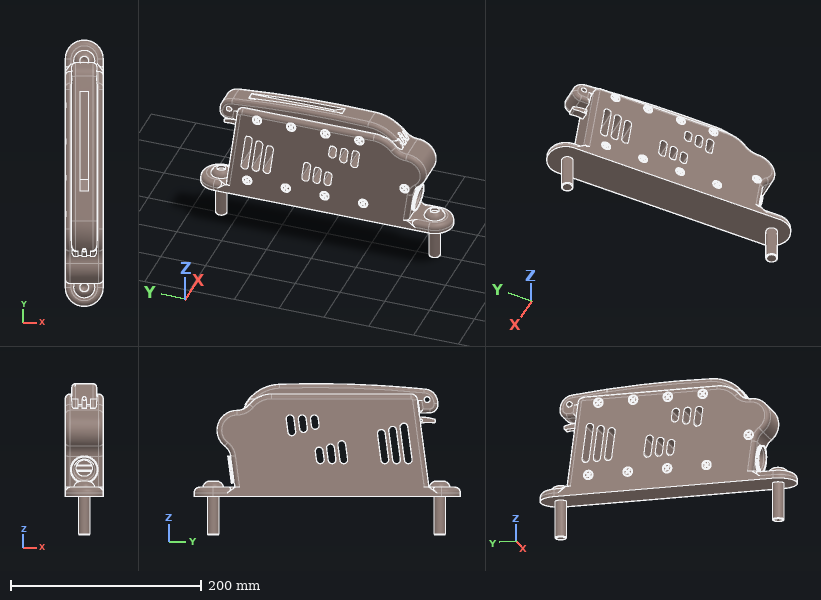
import cadquery as cq
import math

LENGTH = 280.0
WIDTH = 40.0
BASE_HEIGHT = 10.0
BASE_ROUND = 6.2
BASE_FULL_REAR = 115.0
BASE_FULL_FRONT = -105.0
CORNER_FACET = 8.5

LEAN = math.radians(7.6)
CASE_TOP = 107.8
CASE_REAR_FOOT = 107.0
CASE_FRONT_FOOT = -97.2
CASE_ROUND = 5.0
REAR_CORNER_RADIUS = 6.7
FRONT_FACE_TOP = 42.3
BULGE_Y = -95.0
BULGE_Z = 69.7
BULGE_RADIUS = 21.0
NECK_RADIUS = 17.0
SHOULDER_RADIUS = 30.2
CHANNEL_WIDTH = 27.5
CHANNEL_DEPTH = 2.5

LEVER_WIDTH = 26.3
LEVER_ROUND = 4.2
LEVER_REAR = (102.0, 113.0)
LEVER_MIDDLE = (25.8, 118.2)
LEVER_BEND = (-50.0, 118.2)
LEVER_TIP = (-88.2, 93.2)
LEVER_TIP_ROOT_Z = 84.0
LEVER_CREST_Z = 118.7
HOOK_ROOT = (95.2, 100.8)
HOOK_INNER_LOW = (97.5, 87.5)
HOOK_BOTTOM = (108.0, 88.0)
HOOK_HEEL = (114.2, 91.0)
HOOK_BACK = (116.2, 98.0)
HOOK_SHOULDER = (111.5, 109.2)
HOOK_HOLE_DIAMETER = 6.0
HOOK_HOLE_Y = 105.0
HOOK_HOLE_Z = 102.0
PRONG_INNER_X = 6.7
FINGER_TOP_Z = 102.5
FINGER_STEP = 0.8
NOTCH_TOP_Z = 97.0
NOTCH_FLOOR_Y = -83.2
TAB_WIDTH = 4.5
LEVER_PIN_DIAMETER = 4.0
LEVER_PIN_Z = 103.0
LEVER_PIN_FLOOR_Y = -79.2
GROOVE_WIDTH = 9.0
GROOVE_REAR_Y = 86.0
GROOVE_REAR_Z = 114.0
GROOVE_DEEP_Y = -6.5
GROOVE_FRONT_Y = -18.5
GROOVE_DEPTH = 4.2

CATCH_WIDTH = 8.5
CATCH_ROOT_TOP = (96.3, 83.7)
CATCH_MIDDLE_TOP = (105.3, 83.2)
CATCH_TIP_TOP = (113.7, 81.2)
CATCH_TIP_LOW = (113.7, 77.0)
CATCH_MIDDLE_LOW = (105.0, 77.8)
CATCH_ROOT_LOW = (96.3, 76.5)
CATCH_TIP_ROUND = 1.7
CATCH_HOLE_CENTER = (98.5, 80.0)
CATCH_HOLE_DIAMETER = 2.5

BOLT_PLACES = (118.2, -119.8)
BOLT_DIAMETER = 12.3
BOLT_LENGTH = 40.3
BOLT_END_CHAMFER = 0.8
HEAD_DIAMETER = 22.0
HEAD_DOME_MIDDLE = (9.0, 4.0)
HEAD_TOP_DIAMETER = 10.0
HEAD_HEIGHT = 6.2
SOCKET_DIAMETER = 9.2
SOCKET_DEPTH = 3.5
SOCKET_CONE_DEPTH = 2.2

PORT_Z = 28.5
COLLAR_DIAMETER = 28.8
COLLAR_HEIGHT = 3.0
COLLAR_TEETH = 36
TOOTH_DEPTH = 0.8
TOOTH_GAP = 1.0
BORE_DIAMETER = 22.0
BORE_FLOOR_DIAMETER = 17.0
BORE_DEPTH = 9.8
BORE_LIP = 2.2
SLIT_WIDTH = 1.0
SLIT_DEPTH = 2.8
SLIT_OFFSET = 2.8
SLIT_LENGTH = 14.0

SLOT_WIDTH = 7.8
SLOTS_PER_GROUP = 3
SLOT_PITCH = 12.3
SLOT_STEP = 3.5
SLOT_LOW_Z = 38.5
REAR_SLOTS_Y = 85.0
REAR_SLOTS_TOP = 73.0
MIDDLE_SLOTS_Y = 17.5
MIDDLE_SLOTS_TOP = 54.5
UPPER_SLOTS_Y = -12.5
UPPER_SLOTS_LOW = 74.8
UPPER_SLOTS_TOP = 81.8

SCREW_DIAMETER = 10.0
SCREWS_PER_ROW = 4
TOP_SCREWS_Y = 71.5
TOP_SCREWS_Z = 99.0
TOP_SCREW_PITCH = 38.0
LOW_SCREWS_Y = 82.3
LOW_SCREWS_Z = 20.7
LOW_SCREW_PITCH = 43.0
FRONT_SCREW = (-93.2, 49.8)
SCREW_HEAD_DIAMETER = 8.5
SCREW_GAP_DEPTH = 0.8
CROSS_LENGTH = 5.3
CROSS_WIDTH = 1.0
CROSS_TURN = 45.0
CROSS_DEPTH = 1.5

HALF_WIDTH = WIDTH / 2
MARGIN = 2.8


def side_prism(outline, width):
    """Extrude a (y, z) outline symmetrically about the middle plane."""
    return outline.extrude(width / 2, both=True)


def corner_facet_cutter(side, y_end, toward_case):
    """Pyramid that slopes one square corner of the base plate down to its rounded end."""
    x_side = side * HALF_WIDTH
    x_inner = side * (HALF_WIDTH - BASE_ROUND)
    corners = [
        cq.Vector(x_side, y_end, BASE_HEIGHT),
        cq.Vector(x_inner, y_end, BASE_HEIGHT),
        cq.Vector(x_side, y_end, BASE_HEIGHT - BASE_ROUND),
        cq.Vector(x_side, y_end + toward_case * CORNER_FACET, BASE_HEIGHT),
    ]
    faces = []
    for skipped in corners:
        triangle = [corner for corner in corners if corner is not skipped]
        faces.append(cq.Face.makeFromWires(cq.Wire.makePolygon(triangle, close=True)))
    return cq.Workplane(cq.Solid.makeSolid(cq.Shell.makeShell(faces)))


def make_base():
    plate = cq.Workplane("XY").slot2D(LENGTH, WIDTH, 90).extrude(BASE_HEIGHT)
    plate = plate.faces(">Z").edges().fillet(BASE_ROUND)
    middle = cq.Workplane("XY").box(
        WIDTH, BASE_FULL_REAR - BASE_FULL_FRONT, BASE_HEIGHT, centered=(True, False, False)
    ).translate((0, BASE_FULL_FRONT, 0))
    for side in (-1, 1):
        middle = middle.cut(corner_facet_cutter(side, BASE_FULL_REAR, -1))
        middle = middle.cut(corner_facet_cutter(side, BASE_FULL_FRONT, 1))
    return plate.union(middle)


def lean_shift(z):
    """How far a leaning face has moved toward -Y at height z."""
    return (z - BASE_HEIGHT) * math.tan(LEAN)


def make_case():
    face_top_y = CASE_FRONT_FOOT - lean_shift(FRONT_FACE_TOP)
    normal_y = -math.cos(LEAN)
    normal_z = -math.sin(LEAN)
    gap_y = face_top_y - BULGE_Y
    gap_z = FRONT_FACE_TOP - BULGE_Z
    throat_radius = (gap_y**2 + gap_z**2 - BULGE_RADIUS**2) / (
        2 * (BULGE_RADIUS - gap_y * normal_y - gap_z * normal_z)
    )
    to_throat = math.atan2(gap_z + throat_radius * normal_z, gap_y + throat_radius * normal_y)
    bulge_low = (
        BULGE_Y + BULGE_RADIUS * math.cos(to_throat),
        BULGE_Z + BULGE_RADIUS * math.sin(to_throat),
    )
    bulge_top = (BULGE_Y, BULGE_Z + BULGE_RADIUS)

    radius_sum = NECK_RADIUS + SHOULDER_RADIUS
    sweep = math.acos(1 - (CASE_TOP - bulge_top[1]) / radius_sum)
    neck_end = (
        BULGE_Y + NECK_RADIUS * math.sin(sweep),
        bulge_top[1] + NECK_RADIUS * (1 - math.cos(sweep)),
    )
    shoulder_end = (BULGE_Y + radius_sum * math.sin(sweep), CASE_TOP)

    outline = (
        cq.Workplane("YZ")
        .moveTo(CASE_REAR_FOOT, BASE_HEIGHT)
        .lineTo(CASE_FRONT_FOOT, BASE_HEIGHT)
        .lineTo(face_top_y, FRONT_FACE_TOP)
        .tangentArcPoint(bulge_low, relative=False)
        .tangentArcPoint(bulge_top, relative=False)
        .tangentArcPoint(neck_end, relative=False)
        .tangentArcPoint(shoulder_end, relative=False)
        .lineTo(CASE_REAR_FOOT - lean_shift(CASE_TOP), CASE_TOP)
        .close()
    )
    case = side_prism(outline, WIDTH)
    case = case.edges("|X").edges(">Z").edges(">Y").fillet(REAR_CORNER_RADIUS)
    above_foot = cq.selectors.BoxSelector(
        (-WIDTH, -LENGTH, BASE_HEIGHT + MARGIN), (WIDTH, LENGTH, CASE_TOP + MARGIN)
    )
    case = case.faces("<X or >X").edges(above_foot).fillet(CASE_ROUND)
    channel = cq.Workplane("XY").box(CHANNEL_WIDTH, LENGTH, 2 * CHANNEL_DEPTH)
    return case.cut(channel.translate((0, 0, CASE_TOP)))


def make_lever():
    outline = (
        cq.Workplane("YZ")
        .moveTo(*LEVER_REAR)
        .threePointArc(LEVER_MIDDLE, LEVER_BEND)
        .tangentArcPoint(LEVER_TIP, relative=False)
        .lineTo(LEVER_TIP[0], LEVER_TIP_ROOT_Z)
        .lineTo(LEVER_BEND[0], LEVER_TIP_ROOT_Z)
        .lineTo(LEVER_BEND[0], HOOK_ROOT[1])
        .lineTo(*HOOK_ROOT)
        .lineTo(*HOOK_INNER_LOW)
        .lineTo(*HOOK_BOTTOM)
        .threePointArc(HOOK_HEEL, HOOK_BACK)
        .threePointArc(HOOK_SHOULDER, LEVER_REAR)
        .close()
    )
    lever = side_prism(outline, LEVER_WIDTH)
    upper_edges = cq.selectors.BoxSelector(
        (-WIDTH, LEVER_TIP[0], CASE_TOP - MARGIN), (WIDTH, LENGTH, LEVER_CREST_Z)
    )
    hook_edges = cq.selectors.BoxSelector((-WIDTH, HOOK_ROOT[0], 0), (WIDTH, LENGTH, LEVER_CREST_Z))
    lever = lever.faces("<X or >X").edges(upper_edges + hook_edges).fillet(LEVER_ROUND)

    hook_hole = side_prism(
        cq.Workplane("YZ").center(HOOK_HOLE_Y, HOOK_HOLE_Z).circle(HOOK_HOLE_DIAMETER / 2), WIDTH
    )
    lever = shape_nose(lever).cut(hook_hole).cut(make_groove())
    pin_hole = cq.Workplane("XZ").center(0, LEVER_PIN_Z).circle(LEVER_PIN_DIAMETER / 2).extrude(LENGTH)
    return lever.cut(pin_hole.translate((0, LEVER_PIN_FLOOR_Y, 0)))


def front_block(x_low, x_high, z_top, y_rear):
    """Block that covers everything in front of y_rear and below z_top between two x places."""
    block = cq.Workplane("XY").box(x_high - x_low, LENGTH, LENGTH, centered=False)
    return block.translate((x_low, y_rear - LENGTH, z_top - LENGTH))


def shape_nose(lever):
    """Set back two outer prongs and a middle tab at the lever tip and notch between them."""
    fingers = (
        (-LEVER_WIDTH / 2, -PRONG_INNER_X),
        (-TAB_WIDTH / 2, TAB_WIDTH / 2),
        (PRONG_INNER_X, LEVER_WIDTH / 2),
    )
    nose = lever.cut(front_block(-PRONG_INNER_X, PRONG_INNER_X, NOTCH_TOP_Z, NOTCH_FLOOR_Y))
    for x_low, x_high in fingers:
        finger_block = front_block(x_low, x_high, FINGER_TOP_Z, LEVER_BEND[0])
        finger = lever.intersect(finger_block).translate((0, FINGER_STEP, 0))
        nose = nose.cut(finger_block).union(finger)
    return nose


def make_groove():
    """Finger groove: the floor slopes down toward the front, then ramps up steeply."""
    outline = (
        cq.Workplane("YZ")
        .moveTo(GROOVE_REAR_Y, GROOVE_REAR_Z)
        .lineTo(GROOVE_DEEP_Y, LEVER_CREST_Z - GROOVE_DEPTH)
        .lineTo(GROOVE_FRONT_Y, LEVER_CREST_Z)
        .lineTo(GROOVE_FRONT_Y, LEVER_CREST_Z + MARGIN)
        .lineTo(GROOVE_REAR_Y, LEVER_CREST_Z + MARGIN)
        .close()
    )
    return side_prism(outline, GROOVE_WIDTH)


def make_catch():
    outline = (
        cq.Workplane("YZ")
        .moveTo(*CATCH_ROOT_TOP)
        .threePointArc(CATCH_MIDDLE_TOP, CATCH_TIP_TOP)
        .lineTo(*CATCH_TIP_LOW)
        .threePointArc(CATCH_MIDDLE_LOW, CATCH_ROOT_LOW)
        .close()
    )
    catch = side_prism(outline, CATCH_WIDTH)
    catch = catch.edges("|X and >Y").fillet(CATCH_TIP_ROUND)
    hole = cq.Workplane("YZ").center(*CATCH_HOLE_CENTER).circle(CATCH_HOLE_DIAMETER / 2)
    return catch.cut(side_prism(hole, WIDTH))


def make_bolt(y):
    shank = cq.Workplane("XY").circle(BOLT_DIAMETER / 2).extrude(-BOLT_LENGTH)
    shank = shank.faces("<Z").chamfer(BOLT_END_CHAMFER)
    head = (
        cq.Workplane("XZ")
        .lineTo(HEAD_DIAMETER / 2, 0)
        .threePointArc(HEAD_DOME_MIDDLE, (HEAD_TOP_DIAMETER / 2, HEAD_HEIGHT))
        .lineTo(SOCKET_DIAMETER / 2, HEAD_HEIGHT)
        .lineTo(SOCKET_DIAMETER / 2, HEAD_HEIGHT - SOCKET_DEPTH)
        .lineTo(0, HEAD_HEIGHT - SOCKET_DEPTH - SOCKET_CONE_DEPTH)
        .close()
        .revolve(360, (0, 0), (0, 1))
    )
    return shank.union(head.translate((0, 0, BASE_HEIGHT))).translate((0, y, 0))


PORT_PLANE = cq.Plane(
    origin=(0, CASE_FRONT_FOOT - lean_shift(PORT_Z), PORT_Z),
    xDir=(1, 0, 0),
    normal=(0, -math.cos(LEAN), -math.sin(LEAN)),
)


def make_collar():
    """Toothed ring standing on the front face around the cable port."""
    collar = cq.Workplane(PORT_PLANE).circle(COLLAR_DIAMETER / 2).extrude(COLLAR_HEIGHT)
    gaps = (
        cq.Workplane(PORT_PLANE)
        .polarArray(COLLAR_DIAMETER / 2, 0, 360, COLLAR_TEETH)
        .rect(2 * TOOTH_DEPTH, TOOTH_GAP)
        .extrude(COLLAR_HEIGHT)
    )
    return collar.cut(gaps)


def make_port_bore():
    """Tapered bore with a rounded mouth and two slits in its floor."""
    profile_plane = cq.Plane(PORT_PLANE.origin, PORT_PLANE.xDir, PORT_PLANE.yDir * -1)
    mouth_radius = BORE_DIAMETER / 2
    bore = (
        cq.Workplane(profile_plane)
        .moveTo(0, COLLAR_HEIGHT)
        .lineTo(mouth_radius + BORE_LIP, COLLAR_HEIGHT)
        .radiusArc((mouth_radius, COLLAR_HEIGHT - BORE_LIP), -BORE_LIP)
        .lineTo(BORE_FLOOR_DIAMETER / 2, -BORE_DEPTH)
        .lineTo(0, -BORE_DEPTH)
        .close()
        .revolve(360, (0, 0), (0, 1))
    )
    slits = (
        cq.Workplane(PORT_PLANE)
        .workplane(offset=-BORE_DEPTH)
        .pushPoints([(0, SLIT_OFFSET), (0, -SLIT_OFFSET)])
        .rect(SLIT_LENGTH, SLIT_WIDTH)
        .extrude(-SLIT_DEPTH)
    )
    return bore.union(slits)


def make_slot(y, low_z, high_z):
    """Slot through the case, parallel to the leaning faces; low_z and high_z are its end centres."""
    height = high_z - low_z
    center_y = y - height / 2 * math.tan(LEAN)
    slot = (
        cq.Workplane("YZ")
        .center(center_y, low_z + height / 2)
        .slot2D(height / math.cos(LEAN) + SLOT_WIDTH, SLOT_WIDTH, 90 + math.degrees(LEAN))
    )
    return side_prism(slot, WIDTH)


def make_slots():
    slots = cq.Workplane("XY")
    for index in range(SLOTS_PER_GROUP):
        shift = -index * SLOT_PITCH
        step = index * SLOT_STEP
        slots = slots.add(make_slot(REAR_SLOTS_Y + shift, SLOT_LOW_Z, REAR_SLOTS_TOP - step))
        slots = slots.add(make_slot(MIDDLE_SLOTS_Y + shift, SLOT_LOW_Z, MIDDLE_SLOTS_TOP - step))
        slots = slots.add(make_slot(UPPER_SLOTS_Y + shift, UPPER_SLOTS_LOW - step, UPPER_SLOTS_TOP))
    return slots.combine()


def make_screw_marks():
    """Ring gap and cross recess of every countersunk screw in the -X side."""
    places = [FRONT_SCREW]
    for index in range(SCREWS_PER_ROW):
        places.append((TOP_SCREWS_Y - index * TOP_SCREW_PITCH, TOP_SCREWS_Z))
        places.append((LOW_SCREWS_Y - index * LOW_SCREW_PITCH, LOW_SCREWS_Z))
    side = cq.Workplane("YZ", origin=(-HALF_WIDTH, 0, 0))
    ring = side.circle(SCREW_DIAMETER / 2).circle(SCREW_HEAD_DIAMETER / 2).extrude(SCREW_GAP_DEPTH)
    upright_bar = side.rect(CROSS_WIDTH, CROSS_LENGTH).extrude(CROSS_DEPTH)
    level_bar = side.rect(CROSS_LENGTH, CROSS_WIDTH).extrude(CROSS_DEPTH)
    cross = upright_bar.union(level_bar).rotate((0, 0, 0), (1, 0, 0), CROSS_TURN)
    marks = cq.Workplane("XY")
    for y, z in places:
        marks = marks.add(ring.translate((0, y, z))).add(cross.translate((0, y, z)))
    return marks.combine()


result = make_base().union(make_case()).union(make_lever()).union(make_catch()).union(make_collar())
for bolt_y in BOLT_PLACES:
    result = result.union(make_bolt(bolt_y))
result = result.cut(make_port_bore()).cut(make_slots()).cut(make_screw_marks())